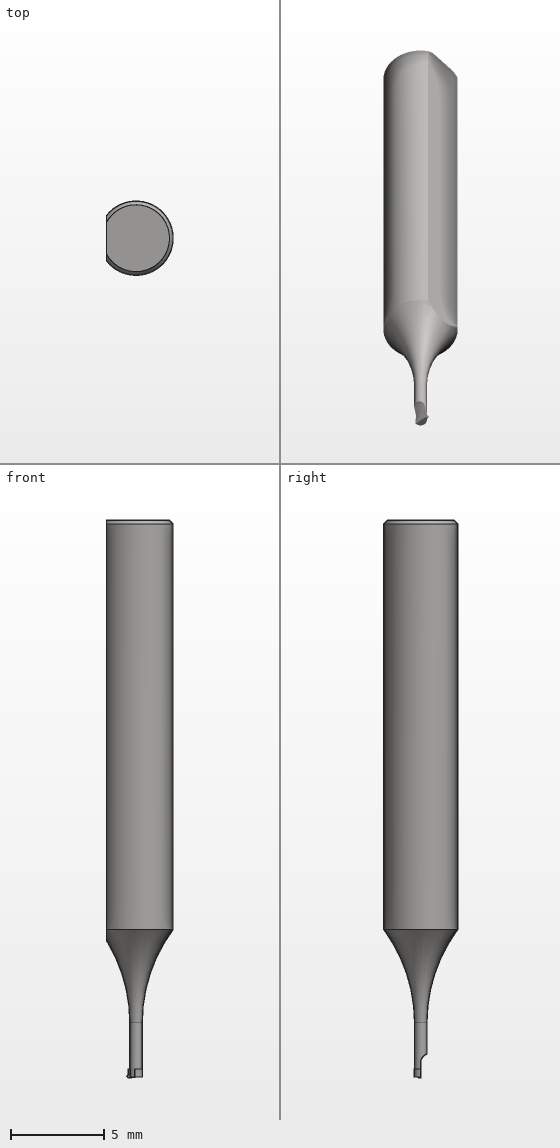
import cadquery as cq
import math

total_length = 30.0
shank_radius = 2.0
flat_offset = 1.6
end_chamfer = 0.2

taper_top = 8.0
neck_top = 3.0
neck_radius = 0.34

relief_radius = 0.5
relief_top = 1.3

head_top = 0.5
head_bottom = 0.06
head_reach = 0.42
head_radius = 0.355
head_land = (-0.39, -0.1)
facet_end_angle = 260.0
nib_reach = 0.5
nib_point_x = -0.4
nib_corner_height = 0.1
nib_top = 0.2
nib_depth = 0.15
nib_clearance_angle = 10.0


def make_turned_body():
    """Revolve the shank, the concave taper and the neck about Z."""
    taper_height = taper_top - neck_top
    taper_width = shank_radius - neck_radius
    arc_radius = (taper_height**2 + taper_width**2) / (2 * taper_width)
    half_sweep = math.asin(taper_height / arc_radius) / 2
    arc_middle = (
        neck_radius + arc_radius * (1 - math.cos(half_sweep)),
        neck_top + arc_radius * math.sin(half_sweep),
    )
    return (
        cq.Workplane("XZ")
        .moveTo(0, head_bottom)
        .lineTo(neck_radius, head_bottom)
        .lineTo(neck_radius, neck_top)
        .threePointArc(arc_middle, (shank_radius, taper_top))
        .lineTo(shank_radius, total_length - end_chamfer)
        .lineTo(shank_radius - end_chamfer, total_length)
        .lineTo(0, total_length)
        .close()
        .revolve(360, (0, 0, 0), (0, 1, 0))
    )


def make_flat_cutter():
    """Block beyond the shank flat, over the full length."""
    return (
        cq.Workplane("XY")
        .box(shank_radius, 2 * shank_radius, total_length, centered=(True, True, False))
        .translate((-flat_offset - shank_radius / 2, 0, 0))
    )


def make_tip_relief():
    """Removes the +Y half of the tip and runs out through a concave arc."""
    runout_height = math.sqrt(relief_radius**2 - (relief_radius - neck_radius) ** 2)
    half_sweep = math.asin(runout_height / relief_radius) / 2
    arc_start = relief_top - runout_height
    arc_middle = (
        relief_radius * (1 - math.cos(half_sweep)),
        arc_start + relief_radius * math.sin(half_sweep),
    )
    return (
        cq.Workplane("YZ")
        .lineTo(0, arc_start)
        .threePointArc(arc_middle, (neck_radius, relief_top))
        .lineTo(neck_radius, 0)
        .close()
        .extrude(neck_radius, both=True)
    )


def make_head():
    """Half-round head with an overhang on the -X side, its flank cut back by a facet."""
    facet_end = point_on_head(facet_end_angle)
    back_middle = point_on_head((facet_end_angle + 360) / 2)
    return (
        cq.Workplane("XY")
        .workplane(offset=head_bottom)
        .moveTo(-head_reach, 0)
        .lineTo(*head_land)
        .lineTo(*facet_end)
        .threePointArc(back_middle, (head_radius, 0))
        .close()
        .extrude(head_top - head_bottom)
    )


def point_on_head(angle):
    """X, Y of the point on the head's round back at an angle in degrees from +X."""
    turn = math.radians(angle)
    return head_radius * math.cos(turn), head_radius * math.sin(turn)


def make_nib():
    """Cutting corner on the tip's flat face, narrowing toward -Y for clearance."""
    return (
        cq.Workplane("XZ")
        .polyline(
            [
                (nib_point_x, 0),
                (-nib_reach, nib_corner_height),
                (-head_reach, nib_top),
                (0, nib_top),
                (0, head_bottom),
            ]
        )
        .close()
        .extrude(nib_depth, taper=nib_clearance_angle)
    )


body = make_turned_body().cut(make_flat_cutter()).cut(make_tip_relief())
result = body.union(make_head()).union(make_nib())